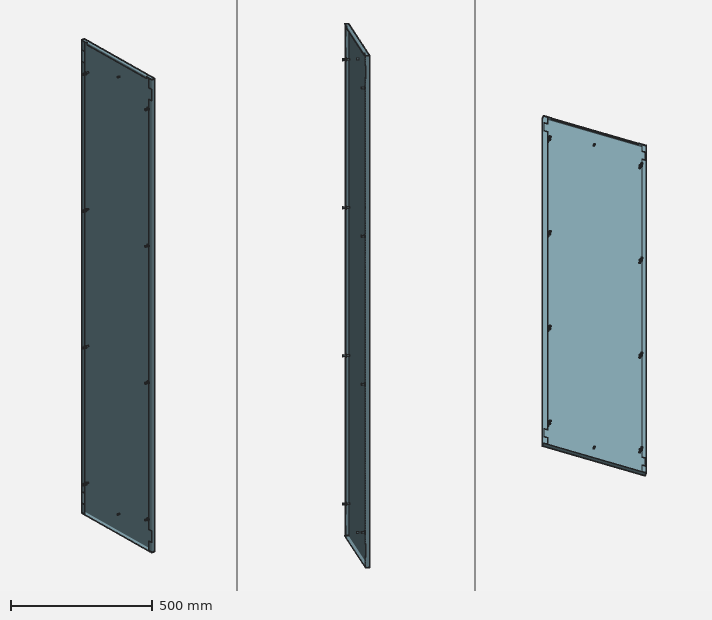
import cadquery as cq

panel_width = 391.0
panel_height = 1904.0
panel_depth = 15.5
sheet = 2.0
bend_radius = 2.7

side_flange_width = 17.7
top_flange_width = 9.0
top_flange_length = 330.0

gap_height = 46.0
gap_center_z = 888.0

corner_clearance = 1.0

post_diameter = 6.0
post_height = 9.0
post_center_z = 879.0

stud_rows = 4
stud_pitch_z = 550.0
stud_center_x = 173.0
shank_diameter = 6.0
head_diameter = 8.0
head_thickness = 1.0
collar_diameter = 12.0
overall_depth = 27.0

front_y = 0.0
back_inner_y = panel_depth - sheet
head_front_y = panel_depth - overall_depth
inner_radius = bend_radius - sheet
side_wall_length = panel_height - 2 * bend_radius
end_wall_length = panel_width - 2 * corner_clearance


def block(width, depth, height, center_x, start_y, center_z):
    """Box centred on X and Z that grows toward +Y from start_y."""
    box = cq.Workplane("XY").box(width, depth, height, centered=(True, False, True))
    return box.translate((center_x, start_y, center_z))


def cylinder(diameter, center_x, start_y, end_y, center_z):
    """Round bar along Y from start_y to end_y."""
    disc = cq.Workplane("XZ", origin=(center_x, end_y, center_z)).circle(diameter / 2)
    return disc.extrude(end_y - start_y)


def plain_channel(span, length):
    """Bent sheet with a back and two plain walls; span along X, length along Z."""
    outer = block(span, panel_depth, length, 0, front_y, 0)
    outer = outer.edges("|Z and >Y").fillet(bend_radius)
    inner = block(span - 2 * sheet, back_inner_y - front_y, length, 0, front_y, 0)
    inner = inner.edges("|Z and >Y").fillet(inner_radius)
    return outer.cut(inner)


def flanged_channel(span, length, flange_width):
    """Bent sheet with a back, two walls and two front flanges; span along X, length along Z."""
    outer = block(span, panel_depth, length, 0, front_y, 0).edges("|Z").fillet(bend_radius)
    inner = block(span - 2 * sheet, panel_depth - 2 * sheet, length, 0, front_y + sheet, 0)
    inner = inner.edges("|Z").fillet(inner_radius)
    mouth = block(span - 2 * flange_width, 2 * sheet, length, 0, front_y, 0)
    return outer.cut(inner).cut(mouth)


def make_side_channel():
    """Back with the two side walls and their flanges; the gaps take only the flat of the flange."""
    channel = flanged_channel(panel_width, side_wall_length, side_flange_width)
    flat_width = side_flange_width - bend_radius
    gap_x = panel_width / 2 - bend_radius - flat_width / 2
    for x_side in (-1, 1):
        for z_side in (-1, 1):
            gap = block(flat_width, sheet, gap_height, x_side * gap_x, front_y, z_side * gap_center_z)
            channel = channel.cut(gap)
    return channel


def make_end_channel():
    """Back with the top and bottom walls; only the top wall is folded over, along its middle.

    It is built lying along X with the top wall toward -X, then turned upright.
    """
    plain = plain_channel(panel_height, end_wall_length)
    flanged = flanged_channel(panel_height, top_flange_length, top_flange_width)
    top_half = block(panel_height / 2, panel_depth, top_flange_length, -panel_height / 4, front_y, 0)
    channel = plain.cut(top_half).union(flanged.intersect(top_half))
    return channel.rotate((0, 0, 0), (0, 1, 0), 90)


def make_panel(studs):
    panel = make_side_channel().union(make_end_channel())
    for z_side in (-1, 1):
        post_start_y = back_inner_y - post_height
        post = cylinder(post_diameter, 0, post_start_y, back_inner_y, z_side * post_center_z)
        panel = panel.union(post)
    for stud in studs:
        panel = panel.cut(stud)
    return panel


def make_stud(center_x, center_z):
    head_back_y = head_front_y + head_thickness
    shank = cylinder(shank_diameter, center_x, head_back_y, back_inner_y, center_z)
    head = cylinder(head_diameter, center_x, head_front_y, head_back_y, center_z)
    collar = cylinder(collar_diameter, center_x, front_y, front_y + sheet, center_z)
    return shank.union(head).union(collar)


studs = []
for row in range(stud_rows):
    stud_z = (row - (stud_rows - 1) / 2) * stud_pitch_z
    for stud_x in (-stud_center_x, stud_center_x):
        studs.append(make_stud(stud_x, stud_z))

panel = make_panel(studs)

result = cq.Compound.makeCompound([panel.val()] + [stud.val() for stud in studs])